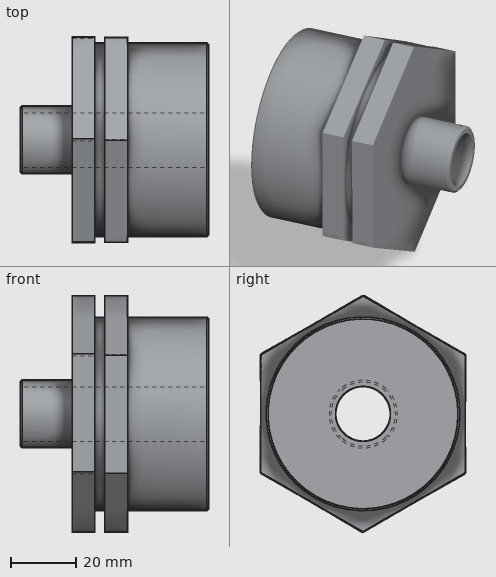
import cadquery as cq
import math


small_spigot_length = 16.0
collar_thickness = 7.0
nut_gap = 3.0
nut_thickness = 7.0
total_length = 58.0

collar_start = small_spigot_length
collar_end = collar_start + collar_thickness
nut_start = collar_end + nut_gap

small_spigot_diameter = 20.95
large_spigot_diameter = 59.61
bore_diameter = 16.76
across_flats = 63.0
hexagon_sides = 6

collar_turn_degrees = -0.54
nut_turn_degrees = 0.2

end_chamfer = 0.6


def cylinder(diameter, start, length):
    """Cylinder about the X axis, beginning at X = start."""
    return cq.Workplane("YZ", origin=(start, 0, 0)).circle(diameter / 2).extrude(length)


def hexagon(start, thickness, turn_degrees):
    """Hexagonal plate across the X axis, one corner at +Z before turning."""
    corner_radius = across_flats / math.sqrt(3)
    plate = cq.Workplane("YZ").polygon(hexagon_sides, 2 * corner_radius).extrude(thickness)
    corner_up_degrees = 90
    plate = plate.rotate((0, 0, 0), (1, 0, 0), corner_up_degrees + turn_degrees)
    return plate.translate((start, 0, 0))


small_spigot = cylinder(small_spigot_diameter, 0, small_spigot_length)
small_spigot = small_spigot.faces("<X").chamfer(end_chamfer)

large_spigot = cylinder(large_spigot_diameter, collar_end, total_length - collar_end)
large_spigot = large_spigot.faces(">X").chamfer(end_chamfer)

collar = hexagon(collar_start, collar_thickness, collar_turn_degrees)
nut = hexagon(nut_start, nut_thickness, nut_turn_degrees)

bore = cylinder(bore_diameter, 0, total_length)

result = small_spigot.union(collar).union(large_spigot).union(nut).cut(bore)